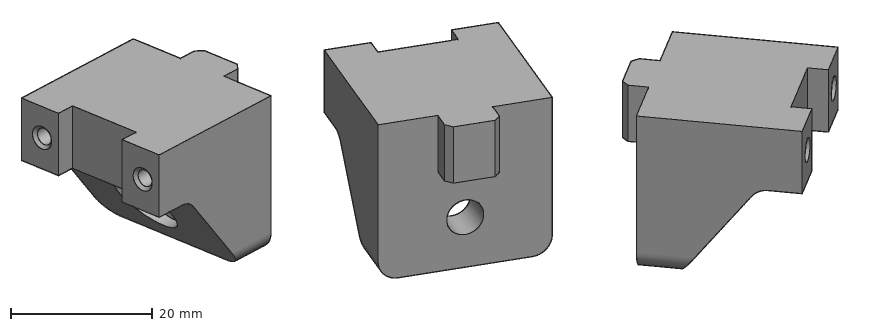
import cadquery as cq
import math

width = 26.0
total_depth = 27.9
height = 25.0
tab_length = 4.0
body_depth = total_depth - tab_length
arm_height = 10.0
foot_depth = 6.0
slope_angle = 52.5
slope_fillet = 3.0
corner_radius = 3.0

tab_width = 8.2
tab_height = 9.0
tab_chamfer = 1.0

notch_width = 12.0
notch_depth = 3.0

bolt_drop = 17.0
bolt_diameter = 5.5
counterbore_diameter = 10.0
seat_thickness = 6.0

pin_spacing = 19.0
pin_shift = 0.4
pin_drop = arm_height / 2
pin_diameter = 2.6
pin_mouth_diameter = 3.6
pin_depth = 10.0

slope_run = (height - arm_height) / math.tan(math.radians(slope_angle))
slope_top_y = body_depth - foot_depth - slope_run


def cylinder(x, z, diameter, start_y, length):
    """Cylinder running toward +Y from start_y."""
    return cq.Workplane(
        cq.Solid.makeCylinder(diameter / 2, length, cq.Vector(x, start_y, z), cq.Vector(0, 1, 0))
    )


def make_body():
    profile = [
        (0, 0),
        (body_depth, 0),
        (body_depth, -height),
        (body_depth - foot_depth, -height),
        (slope_top_y, -arm_height),
        (0, -arm_height),
    ]
    body = cq.Workplane("YZ").polyline(profile).close().extrude(width / 2, both=True)
    inner_corner = cq.selectors.NearestToPointSelector((0, slope_top_y, -arm_height))
    body = body.edges(inner_corner).fillet(slope_fillet)
    rounded_block = (
        cq.Workplane("XY")
        .box(width, body_depth, height, centered=(True, False, False))
        .translate((0, 0, -height))
        .edges("|Y and <Z")
        .fillet(corner_radius)
    )
    return body.intersect(rounded_block)


def make_tab():
    return (
        cq.Workplane("XY")
        .box(tab_width, total_depth - notch_depth, tab_height, centered=(True, False, False))
        .translate((0, notch_depth, -tab_height))
        .edges("|Z and >Y")
        .chamfer(tab_chamfer)
    )


def make_notch():
    return (
        cq.Workplane("XY")
        .box(notch_width, notch_depth, arm_height, centered=(True, False, False))
        .translate((0, 0, -arm_height))
    )


def make_bolt_hole():
    seat_y = body_depth - seat_thickness
    bore = cylinder(0, -bolt_drop, bolt_diameter, 0, body_depth)
    counterbore = cylinder(0, -bolt_drop, counterbore_diameter, 0, seat_y)
    return bore.union(counterbore)


def make_pin_hole(x):
    mouth_depth = (pin_mouth_diameter - pin_diameter) / 2
    mouth = cq.Workplane(
        cq.Solid.makeCone(
            pin_mouth_diameter / 2,
            pin_diameter / 2,
            mouth_depth,
            cq.Vector(x, 0, -pin_drop),
            cq.Vector(0, 1, 0),
        )
    )
    return cylinder(x, -pin_drop, pin_diameter, 0, pin_depth).union(mouth)


result = make_body().union(make_tab()).cut(make_notch()).cut(make_bolt_hole())
for side in (-1, 1):
    result = result.cut(make_pin_hole(pin_shift + side * pin_spacing / 2))